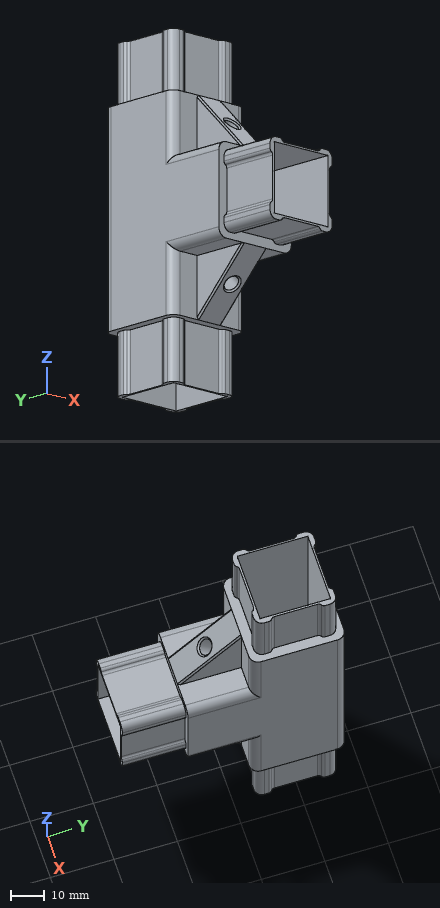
import cadquery as cq
import math


total_height = 110.0
body_width = 30.0
body_corner_radius = 3.0
insert_length = 20.0
bore_width = 22.2

body_height = total_height - 2 * insert_length
body_half = body_width / 2
shoulder = (body_height - body_width) / 2
branch_face = body_half + shoulder
branch_reach = branch_face + insert_length

insert_width = 25.7
insert_corner_radius = 2.5
relief_depth = 1.1
relief_floor_width = 13.6
relief_blend_length = 2.0

web_thickness = 10.0
web_chamfer = 0.5

hole_diameter = 5.0
hole_depth = 10.0
countersink_depth = 0.5


def square_prism(width, length):
    """Sharp-edged square prism from Z = 0 upward."""
    return cq.Workplane("XY").rect(width, width).extrude(length)


def rounded_bar(width, length, corner_radius):
    """Square bar from Z = 0 upward with rounded long edges."""
    return square_prism(width, length).edges("|Z").fillet(corner_radius)


def centred(bar, length):
    """Slide a bar standing on Z = 0 down so that its middle is at Z = 0."""
    return bar.translate((0, 0, -length / 2))


def relief_cutter(length):
    """Groove cutter for the +Y side, each flank an S-curve of two equal tangent arcs."""
    face = insert_width / 2
    floor = face - relief_depth
    middle = face - relief_depth / 2
    floor_x = relief_floor_width / 2
    face_x = floor_x + relief_blend_length
    middle_x = floor_x + relief_blend_length / 2
    chord_angle = math.atan2(relief_depth, relief_blend_length)
    half_chord = math.hypot(relief_depth, relief_blend_length) / 4
    bulge = half_chord * math.tan(chord_angle / 2)
    return (
        cq.Workplane("XY")
        .moveTo(-face_x, face)
        .sagittaArc((-middle_x, middle), bulge)
        .sagittaArc((-floor_x, floor), -bulge)
        .lineTo(floor_x, floor)
        .sagittaArc((middle_x, middle), -bulge)
        .sagittaArc((face_x, face), bulge)
        .close()
        .extrude(length)
    )


def insert_bar(length):
    """Insert from Z = 0 upward with a relief on each of its four sides."""
    bar = rounded_bar(insert_width, length, insert_corner_radius)
    cutter = relief_cutter(length)
    for side in range(4):
        bar = bar.cut(cutter.rotate((0, 0, 0), (0, 0, 1), 90 * side))
    return bar


def toward_branch(bar):
    """Turn a bar standing along +Z so that it points along -Y."""
    return bar.rotate((0, 0, 0), (1, 0, 0), 90)


def upper_web():
    """Triangular web in the upper inside corner, with its two sloping edges chamfered."""
    web = (
        cq.Workplane("YZ")
        .moveTo(-body_half, body_half)
        .lineTo(-branch_face, body_half)
        .lineTo(-body_half, body_height / 2)
        .close()
        .extrude(web_thickness / 2, both=True)
    )
    slope_edges = cq.selectors.ParallelDirSelector(cq.Vector(0, 1, 1))
    return web.edges(slope_edges).chamfer(web_chamfer)


def upper_screw_hole():
    """Hole cutter at the middle of the upper sloping face."""
    slope_middle = body_half + shoulder / 2
    hole_radius = hole_diameter / 2
    rim_radius = hole_radius + countersink_depth
    section_plane = cq.Plane(
        origin=(0, -slope_middle, slope_middle), xDir=(1, 0, 0), normal=(0, -1, -1)
    )
    return (
        cq.Workplane(section_plane)
        .lineTo(rim_radius, 0)
        .lineTo(hole_radius, -countersink_depth)
        .lineTo(hole_radius, -hole_depth)
        .lineTo(0, -hole_depth)
        .close()
        .revolve(360, (0, 0), (0, 1))
    )


body = centred(rounded_bar(body_width, body_height, body_corner_radius), body_height)
branch = toward_branch(rounded_bar(body_width, branch_face, body_corner_radius))
run_insert = centred(insert_bar(total_height), total_height)
branch_insert = toward_branch(insert_bar(branch_reach))
tee = body.union(branch).union(run_insert).union(branch_insert)

web = upper_web().cut(upper_screw_hole())
tee = tee.union(web).union(web.mirror("XY"))

run_bore = centred(square_prism(bore_width, total_height), total_height)
branch_bore = toward_branch(square_prism(bore_width, branch_reach))

result = tee.cut(run_bore).cut(branch_bore)